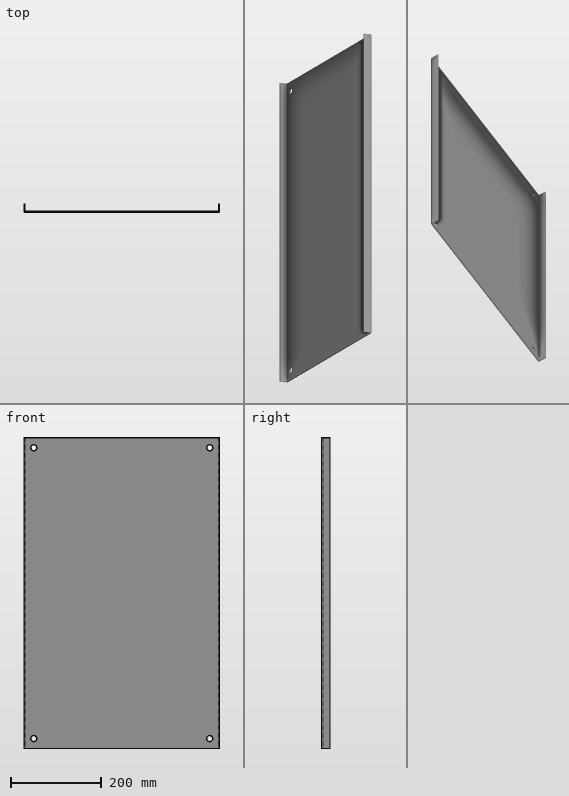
import cadquery as cq

width = 432.0
depth = 19.0
height = 686.0

thickness = 3.0
outer_bend_radius = thickness

hole_diameter = 13.0
hole_edge_distance = 22.0
hole_spacing_x = width - 2 * hole_edge_distance
hole_spacing_z = height - 2 * hole_edge_distance

front_y = -depth / 2
outer_block = cq.Workplane("XY").box(width, depth, height).edges("|Z and <Y").fillet(outer_bend_radius)
inner_block = (
    cq.Workplane("XY")
    .box(width - 2 * thickness, depth, height, centered=(True, False, True))
    .translate((0, front_y + thickness, 0))
)
channel = outer_block.cut(inner_block)

holes = (
    cq.Workplane("XZ")
    .rarray(hole_spacing_x, hole_spacing_z, 2, 2)
    .circle(hole_diameter / 2)
    .extrude(depth, both=True)
)

result = channel.cut(holes)